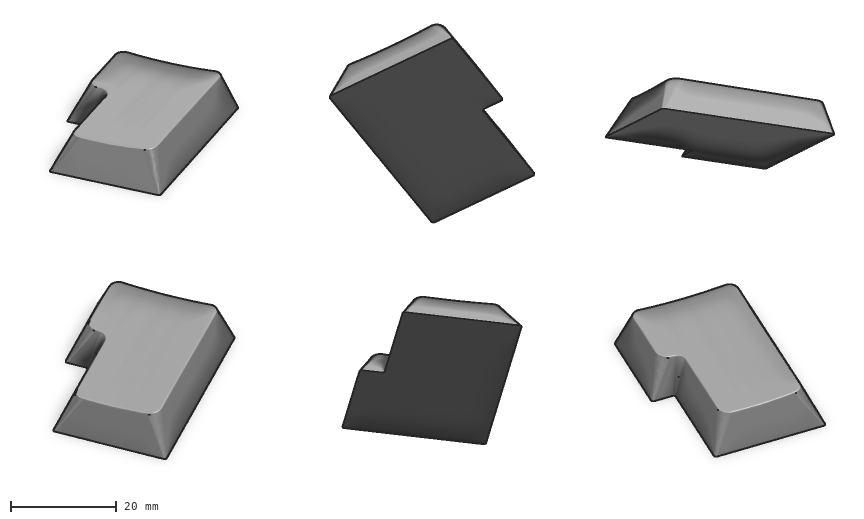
import cadquery as cq

width = 27.6
depth = 37.15
notch_width = 4.7
notch_depth = 19.02
base_outer_radius = 0.5
base_inner_radius = 0.4

left_run = 3.27
right_run = 3.2
front_run = 3.75
back_run = 0.2
notch_front_run = 3.45
loft_height = 7.8
upper_outer_radius = 2.23
upper_inner_radius = 1.85

scoop_radius = 104.02
scoop_floor_at_front = 6.95
top_tilt = 0.5
scoop_half_length = 2 * depth
rim_fillet = 0.5


def notched_outline(left, right, front, back, inner_x, inner_y, outer_radius, inner_radius):
    """L-shaped sketch with rounded corners; the inner corner has its own radius."""
    inner_corner = (inner_x, inner_y)
    outer_corners = [
        (inner_x, front),
        (right, front),
        (right, back),
        (left, back),
        (left, inner_y),
    ]
    outline = cq.Sketch().polygon([inner_corner, *outer_corners, inner_corner])
    radii = [(inner_corner, inner_radius)]
    radii += [(corner, outer_radius) for corner in outer_corners]
    for (x, y), radius in radii:
        nearest_corner = cq.selectors.NearestToPointSelector((x, y, 0))
        outline = outline.vertices(nearest_corner).fillet(radius).reset()
    return outline


def tapered_body():
    """Straight-ruled walls from the flat base up to a tilted, smaller outline."""
    base = notched_outline(
        left=0,
        right=width,
        front=0,
        back=depth,
        inner_x=notch_width,
        inner_y=notch_depth,
        outer_radius=base_outer_radius,
        inner_radius=base_inner_radius,
    )
    upper = notched_outline(
        left=left_run,
        right=width - right_run,
        front=front_run,
        back=depth - back_run,
        inner_x=notch_width + left_run,
        inner_y=notch_depth + notch_front_run,
        outer_radius=upper_outer_radius,
        inner_radius=upper_inner_radius,
    )
    upper_place = cq.Location(cq.Vector(0, 0, loft_height), cq.Vector(1, 0, 0), -top_tilt)
    return cq.Workplane("XY").placeSketch(base, upper.moved(upper_place)).loft(ruled=True)


def scoop_cutter():
    """Large cylinder along Y, tilted so that its lowest line falls toward the back."""
    return (
        cq.Workplane("XZ", origin=(width / 2, 0, scoop_floor_at_front + scoop_radius))
        .circle(scoop_radius)
        .extrude(scoop_half_length, both=True)
        .rotate((0, 0, scoop_floor_at_front), (1, 0, scoop_floor_at_front), -top_tilt)
    )


body = tapered_body().cut(scoop_cutter())
result = body.faces(">Z").edges().fillet(rim_fillet)